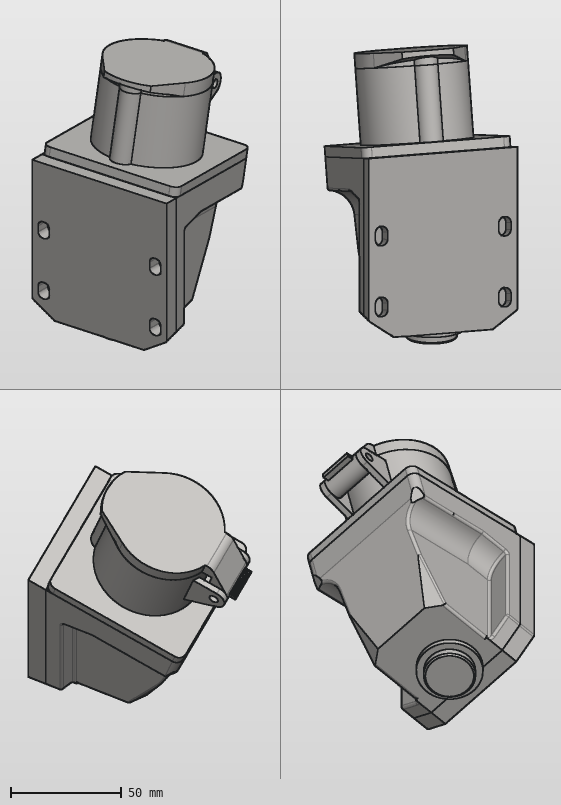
import cadquery as cq
import math

width = 70.0
total_height = 134.5
tilt_angle = 15.0

plate_top = 85.2
plate_thickness = 8.9
foot_half_width = 23.3
foot_chamfer_height = 8.5
foot_back = 50.0
skirt_depth = 17.1
collar_height = 15.3
collar_back_height = 13.7
level_recess_top = 60.8
foot_rounding_start = 18.7
cove_radius = 11.7
edge_radius = 1.3
wedge_height = 28.4
wedge_start = 44.2
wedge_inset = 8.1

slot_length = 9.1
slot_width = 5.8
slot_spacing = 58.1
slot_heights = (14.8, 48.3)

flange_start = 8.5
flange_thickness = 4.8
corner_radius = 3.9
barrel_radius = 25.7
barrel_height = 39.8
rib_width = 11.4
rib_front = 5.8

hinge_along = 69.1
hinge_up = 29.5
hinge_radius = 5.4
hinge_hole_radius = 2.2
arm_width = 20.5
ear_thickness = 3.1
ear_drop_angle = 29.5

lid_top = 46.5
lip_front = 2.7
lip_corner_along = 5.8
lip_corner_x = 12.1
lip_tangent_along = 21.0
lip_edge_bottom = 44.1
arm_lean_angle = 39.8
arm_bend_radius = 5.4
tab_width = 16.0
tab_end = 77.7
tab_bottom = 29.5
tab_thickness = 2.2
tooth_count = 4
tooth_height = 0.4

gland_center = 19.6
gland_flange_diameter = 30.3
gland_flange_height = 3.0
gland_diameter = 23.5
gland_chamfer = 0.8

half_width = width / 2
slope = math.tan(math.radians(tilt_angle))
sine = math.sin(math.radians(tilt_angle))
cosine = math.cos(math.radians(tilt_angle))
flange_start_z = plate_top - flange_start * slope
rib_radius = rib_width / 2
socket_center = half_width
lid_height = lid_top - barrel_height
ample = 2 * total_height
tolerance = 0.01
along_axis = cq.selectors.ParallelDirSelector(cq.Vector(0, sine, cosine))


def to_depth_height(along, up):
    """Convert a point on the tilted socket's midplane to (Y, Z)."""
    depth = flange_start + along * cosine + up * sine
    height = flange_start_z - along * sine + up * cosine
    return depth, height


def tilted_plane(up=0.0):
    """Plane parallel to the flange: local x is X, local y is "along"."""
    depth, height = to_depth_height(0, up)
    return cq.Workplane(cq.Plane((0, depth, height), (1, 0, 0), (0, sine, cosine)))


def midplane():
    """Plane X = 0: local x is "along", local y is "up"."""
    return cq.Workplane(
        cq.Plane((0, flange_start, flange_start_z), (0, cosine, -sine), (1, 0, 0))
    )


def side_profile(points):
    """Full-width prism from a (Y, Z) outline."""
    return cq.Workplane("YZ").polyline(points).close().extrude(half_width, both=True)


def at_x(edge, x):
    """True for an edge that lies in one of the planes X = x and X = -x."""
    box = edge.BoundingBox()
    return box.xlen < tolerance and abs(abs(edge.Center().x) - x) < tolerance



def chamfer_foot(body):
    """Slant both lower corners and round the edges above the slants."""
    for side in (-1, 1):
        corner = (
            cq.Workplane("XZ")
            .polyline([
                (side * half_width, 0),
                (side * half_width, foot_chamfer_height),
                (side * foot_half_width, 0),
            ])
            .close()
            .extrude(-ample)
        )
        body = body.cut(corner)
    upper_edges = body.edges("|Y").filter(
        lambda edge: at_x(edge, half_width) and abs(edge.Center().z - foot_chamfer_height) < tolerance
    )
    return upper_edges.fillet(edge_radius)


def make_plate():
    """Wall plate with four slots that slope down towards the housing."""
    plate = chamfer_foot(side_profile([
        (0, 0),
        (0, plate_top),
        (plate_thickness, plate_top - plate_thickness * slope),
        (plate_thickness, 0),
    ]))
    run = cq.Vector(0, plate_thickness, -plate_thickness * slope)
    for x in (-slot_spacing / 2, slot_spacing / 2):
        for z in slot_heights:
            mouth = cq.Workplane("XZ", origin=(x, 0, z)).slot2D(slot_length, slot_width, 90)
            slot = cq.Solid.extrudeLinear(mouth.wires().val(), [], run)
            plate = plate.cut(cq.Workplane(slot))
    return plate


def rear_corner_tool():
    """Block whose rear corners, parallel to the socket axis, are rounded."""
    return (
        tilted_plane(-ample / 2)
        .center(0, half_width - ample / 2 + half_width)
        .rect(width, ample)
        .extrude(ample)
        .edges(along_axis)
        .fillet(corner_radius)
    )


def recess_tool(side):
    """Tool for one side recess, with a cove along its roof."""
    collar_start = to_depth_height(0, -collar_height)
    collar_end = to_depth_height(2 * width, -collar_height)
    bend_depth = collar_start[0] + (collar_start[1] - level_recess_top) / slope
    recess = (
        cq.Workplane("YZ", origin=(side * foot_half_width, 0, 0))
        .polyline([
            (skirt_depth, -width),
            (skirt_depth, level_recess_top),
            (bend_depth, level_recess_top),
            collar_end,
            (collar_end[0], -width),
        ])
        .close()
        .extrude(side * width)
    )
    roof = recess.edges().filter(
        lambda edge: at_x(edge, foot_half_width) and edge.BoundingBox().zmin > 0
    )
    recess = roof.fillet(cove_radius)
    wall = recess.edges("|Z").filter(
        lambda edge: at_x(edge, foot_half_width) and edge.Center().y < skirt_depth + tolerance
    )
    return wall.fillet(edge_radius)


def wedge_tool(side, back_slope):
    """Tool for the slanted cut at one rear lower corner."""
    start = cq.Vector(side * foot_half_width, wedge_start, 0)
    inner = cq.Vector(side * (foot_half_width - wedge_inset), foot_back, 0)
    top = cq.Vector(side * foot_half_width, foot_back + wedge_height * back_slope, wedge_height)
    outward = (inner - start).cross(top - start) * side
    cut_plane = cq.Plane(start, inner - start, outward)
    return cq.Workplane(cut_plane).rect(ample, ample).extrude(width)


def foot_rounding_tool(side):
    """Tool that rounds one lower side edge of the foot."""
    center_x = foot_half_width - edge_radius
    diagonal = edge_radius * math.sqrt(0.5)
    return (
        cq.Workplane("XZ", origin=(0, foot_rounding_start, 0))
        .moveTo(side * center_x, 0)
        .threePointArc(
            (side * (center_x + diagonal), edge_radius - diagonal),
            (side * foot_half_width, edge_radius),
        )
        .lineTo(side * foot_half_width, 0)
        .close()
        .extrude(-width)
    )


def make_housing():
    """Full-width collar and skirt around a narrower, tapering foot."""
    collar_back = to_depth_height(width, -collar_back_height)
    back_slope = (collar_back[0] - foot_back) / collar_back[1]
    housing = chamfer_foot(side_profile([
        (plate_thickness, 0),
        (plate_thickness, plate_top - plate_thickness * slope),
        to_depth_height(width, 0),
        collar_back,
        (foot_back, 0),
    ]))
    housing = housing.intersect(rear_corner_tool())
    for side in (-1, 1):
        housing = housing.cut(recess_tool(side))
        housing = housing.cut(wedge_tool(side, back_slope))

    rim = housing.edges().filter(
        lambda edge: at_x(edge, half_width)
        and edge.Center().y > skirt_depth - tolerance
        and edge.BoundingBox().zmax < level_recess_top + tolerance
    )
    foot_back_edges = housing.edges().filter(
        lambda edge: at_x(edge, foot_half_width)
        and edge.BoundingBox().ymin > wedge_start - tolerance
        and edge.BoundingBox().zlen > edge_radius
    )
    housing = housing.newObject(rim.vals() + foot_back_edges.vals()).fillet(edge_radius)
    for side in (-1, 1):
        housing = housing.cut(foot_rounding_tool(side))
    return housing



def round_post(base_up, center_along, radius, height):
    """Cylinder along the socket axis."""
    return tilted_plane(base_up).center(0, center_along).circle(radius).extrude(height)


def barrel_outline(base_up, height):
    """Barrel-sized cylinder with its rib on the wall side."""
    barrel = round_post(base_up, socket_center, barrel_radius, height)
    return barrel.union(round_post(base_up, rib_front + rib_radius, rib_radius, height))


def hinge_hole():
    """Pin hole through the ears and the arm."""
    return (
        midplane()
        .center(hinge_along, hinge_up)
        .circle(hinge_hole_radius)
        .extrude(half_width, both=True)
    )


def make_ears():
    """Two hinge ears that stand on either side of the lid's arm."""
    root = socket_center + barrel_radius / 2
    drop = math.radians(ear_drop_angle)
    tangent_along = hinge_along + hinge_radius * math.sin(drop)
    tangent_up = hinge_up - hinge_radius * math.cos(drop)
    ears = (
        midplane()
        .moveTo(root, hinge_up + hinge_radius)
        .lineTo(hinge_along, hinge_up + hinge_radius)
        .threePointArc((hinge_along + hinge_radius, hinge_up), (tangent_along, tangent_up))
        .lineTo(root, tangent_up - (tangent_along - root) * math.tan(drop))
        .close()
        .extrude(arm_width / 2 + ear_thickness, both=True)
    )
    arm_gap = midplane().rect(ample, ample).extrude(arm_width / 2, both=True)
    return ears.cut(arm_gap).cut(hinge_hole())


def make_socket():
    """Square flange with the barrel, its rib and the hinge ears."""
    flange = (
        tilted_plane()
        .center(0, half_width)
        .rect(width, width)
        .extrude(flange_thickness)
        .edges(along_axis)
        .fillet(corner_radius)
    )
    return flange.union(barrel_outline(0, barrel_height)).union(make_ears())


def make_lip():
    """Finger lip that overhangs the barrel, thinning towards its edge."""
    tangent_x = math.sqrt(barrel_radius ** 2 - (socket_center - lip_tangent_along) ** 2)
    plan = (
        tilted_plane(barrel_height)
        .moveTo(-tangent_x, lip_tangent_along)
        .lineTo(-lip_corner_x, lip_corner_along)
        .threePointArc((0, lip_front), (lip_corner_x, lip_corner_along))
        .lineTo(tangent_x, lip_tangent_along)
        .close()
        .extrude(lid_height)
    )
    taper = (
        midplane()
        .polyline([
            (lip_tangent_along, barrel_height),
            (lip_front, lip_edge_bottom),
            (lip_front, lid_top),
            (lip_tangent_along, lid_top),
        ])
        .close()
        .extrude(half_width, both=True)
    )
    return plan.intersect(taper)


def make_tab():
    """Toothed thumb tab behind the hinge."""
    root = hinge_along + hinge_hole_radius
    pitch = (tab_end - hinge_along - hinge_radius) / tooth_count
    crest = tab_bottom + tab_thickness
    tab = midplane().moveTo(root, tab_bottom).lineTo(tab_end, tab_bottom)
    for tooth in range(tooth_count):
        tooth_end = tab_end - tooth * pitch
        tab = tab.lineTo(tooth_end, crest).lineTo(tooth_end - pitch, crest - tooth_height)
    return tab.lineTo(root, crest - tooth_height).close().extrude(tab_width / 2, both=True)


def make_lid():
    """Round cap with lip, hinge arm and thumb tab."""
    lean = math.radians(arm_lean_angle)
    tangent_along = hinge_along + hinge_radius * math.cos(lean)
    tangent_up = hinge_up + hinge_radius * math.sin(lean)
    shoulder = tangent_along - (lid_top - tangent_up) * math.tan(lean)
    arm = (
        midplane()
        .moveTo(socket_center, barrel_height)
        .lineTo(socket_center, lid_top)
        .lineTo(shoulder, lid_top)
        .lineTo(tangent_along, tangent_up)
        .threePointArc(
            (hinge_along, hinge_up - hinge_radius),
            (hinge_along - hinge_radius, hinge_up),
        )
        .lineTo(hinge_along - hinge_radius, barrel_height)
        .close()
        .extrude(arm_width / 2, both=True)
    )
    shoulder_point = (0, *to_depth_height(shoulder, lid_top))
    lid = barrel_outline(barrel_height, lid_height).union(arm)
    lid = lid.edges(cq.selectors.NearestToPointSelector(shoulder_point)).fillet(arm_bend_radius)
    return lid.union(make_lip()).union(make_tab()).cut(hinge_hole())



def make_gland():
    """Flanged gland under the housing; it ends where the total height is reached."""
    highest = to_depth_height(lip_front, lid_top)[1]
    base = cq.Workplane("XY").center(0, gland_center)
    body = base.circle(gland_diameter / 2).extrude(highest - total_height)
    body = body.faces("<Z").chamfer(gland_chamfer)
    return body.union(base.circle(gland_flange_diameter / 2).extrude(-gland_flange_height))


plate = make_plate()
housing = make_housing()
socket = make_socket()
lid = make_lid()
gland = make_gland()

result = cq.Compound.makeCompound([
    plate.solids().val(),
    housing.solids().val(),
    socket.solids().val(),
    lid.solids().val(),
    gland.solids().val(),
])